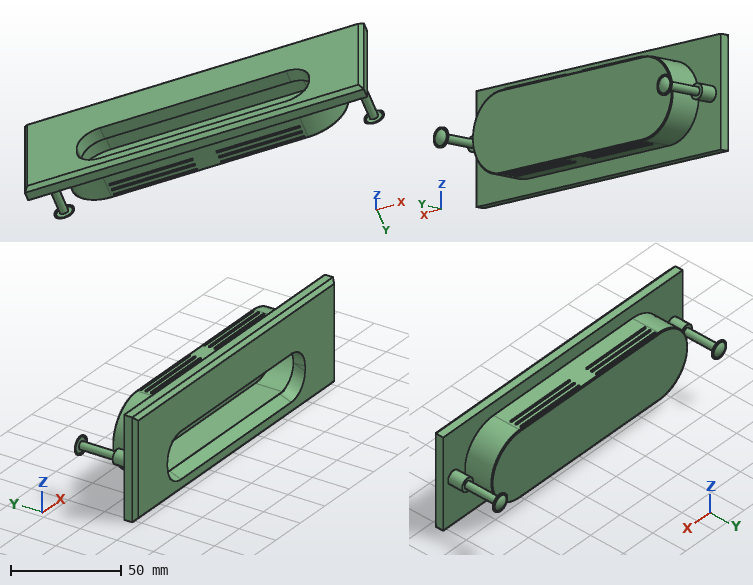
import cadquery as cq
import math


PLATE_LENGTH = 164.0
PLATE_HEIGHT = 54.0
PLATE_THICKNESS = 6.4
PLATE_CHAMFER = 2.0

CUP_LENGTH = 134.2
CUP_HEIGHT = 39.0
CUP_BACK_Y = 22.8
CUP_WALL = 1.5
CUP_FLOOR = 1.5
CUP_CHAMFER = 0.5

SLOT_LENGTH = 112.3
SLOT_HEIGHT = 22.3
LIP_DROP = 2.5
SLOT_CENTER_Z = SLOT_HEIGHT / 2 - (CUP_HEIGHT / 2 - CUP_WALL)

RIB_LENGTH = 40.2
RIB_CENTER_X = 25.9
RIB_HEIGHT = 0.5
RIB_WIDTH = 0.7
RIB_PITCH = 3.0
RIB_COUNT = 3
LAST_RIB_Y = 21.5

SCREW_X = 75.0
BOSS_DIAMETER = 7.5
BOSS_END_Y = 15.0

SHANK_DIAMETER = 4.1
FLANGE_DIAMETER = 9.5
FLANGE_Y = 34.5
FLANGE_THICKNESS = 0.5
DOME_DIAMETER = 7.9
OVERALL_DEPTH = 36.9


def back_facing_plane(y, x=0, z=0):
    """XZ sketch plane at depth y whose extrusions run towards +Y; sketch x and z keep their signs."""
    return cq.Workplane(cq.Plane(origin=(x, y, z), xDir=(-1, 0, 0), normal=(0, 1, 0)))


def stadium(length, height, y_start, depth, z=0):
    """Round-ended bar lying along X."""
    return back_facing_plane(y_start, z=z).slot2D(length, height).extrude(depth)


def cylinder(diameter, y_start, y_end, x):
    return back_facing_plane(y_start, x=x).circle(diameter / 2).extrude(y_end - y_start)


def finger_slot():
    """Straight part of the opening through the plate."""
    return stadium(SLOT_LENGTH, SLOT_HEIGHT, 0, PLATE_THICKNESS, SLOT_CENTER_Z)


def sloping_lip():
    """Cut that lowers the slot's bottom edge at the front and slopes up to it at the plate's back."""
    front_z = SLOT_CENTER_Z - LIP_DROP
    front_outline = back_facing_plane(0, z=front_z).slot2D(SLOT_LENGTH, SLOT_HEIGHT).wires().val()
    slope = cq.Vector(0, PLATE_THICKNESS, LIP_DROP)
    leaning_slot = cq.Workplane(cq.Solid.extrudeLinear(front_outline, [], slope))
    end_wedge = (
        cq.Workplane("YZ")
        .polyline([(0, SLOT_CENTER_Z), (0, front_z), (PLATE_THICKNESS, SLOT_CENTER_Z)])
        .close()
        .extrude(SLOT_LENGTH / 2, both=True)
    )
    return leaning_slot.union(end_wedge)


def make_plate():
    plate = (
        back_facing_plane(0)
        .rect(PLATE_LENGTH, PLATE_HEIGHT)
        .extrude(PLATE_THICKNESS)
        .faces("<Y")
        .chamfer(PLATE_CHAMFER)
        .cut(finger_slot())
        .cut(sloping_lip())
    )
    for x in (-SCREW_X, SCREW_X):
        boss = cylinder(BOSS_DIAMETER, PLATE_THICKNESS, BOSS_END_Y, x)
        screw_hole = cylinder(SHANK_DIAMETER, PLATE_THICKNESS, BOSS_END_Y, x)
        plate = plate.union(boss.cut(screw_hole))
    return plate


def make_cup():
    cup = (
        stadium(CUP_LENGTH, CUP_HEIGHT, PLATE_THICKNESS, CUP_BACK_Y - PLATE_THICKNESS)
        .faces(">Y")
        .chamfer(CUP_CHAMFER)
    )
    rib_span_z = CUP_HEIGHT + 2 * RIB_HEIGHT
    for x in (-RIB_CENTER_X, RIB_CENTER_X):
        for row in range(RIB_COUNT):
            y = LAST_RIB_Y - row * RIB_PITCH
            rib_pair = cq.Workplane("XY").box(RIB_LENGTH, RIB_WIDTH, rib_span_z).translate((x, y, 0))
            cup = cup.union(rib_pair)
    cavity = stadium(
        CUP_LENGTH - 2 * CUP_WALL,
        CUP_HEIGHT - 2 * CUP_WALL,
        PLATE_THICKNESS,
        CUP_BACK_Y - CUP_FLOOR - PLATE_THICKNESS,
    )
    return cup.cut(cavity)


def make_screw(x):
    """Round-headed screw with a thin flange, revolved about an axis along Y."""
    shank_radius = SHANK_DIAMETER / 2
    flange_radius = FLANGE_DIAMETER / 2
    dome_radius = DOME_DIAMETER / 2
    dome_y = FLANGE_Y + FLANGE_THICKNESS
    dome_height = OVERALL_DEPTH - dome_y
    ball_radius = (dome_radius**2 + dome_height**2) / (2 * dome_height)
    half_angle = math.asin(dome_radius / ball_radius) / 2
    arc_middle = (
        ball_radius * math.sin(half_angle),
        OVERALL_DEPTH - ball_radius * (1 - math.cos(half_angle)),
    )
    return (
        cq.Workplane("XY")
        .moveTo(0, PLATE_THICKNESS)
        .lineTo(shank_radius, PLATE_THICKNESS)
        .lineTo(shank_radius, FLANGE_Y)
        .lineTo(flange_radius, FLANGE_Y)
        .lineTo(flange_radius, dome_y)
        .lineTo(dome_radius, dome_y)
        .threePointArc(arc_middle, (0, OVERALL_DEPTH))
        .close()
        .revolve(360, (0, 0, 0), (0, 1, 0))
        .translate((x, 0, 0))
    )


plate = make_plate()
cup = make_cup()
screws = [make_screw(x) for x in (-SCREW_X, SCREW_X)]

result = cq.Compound.makeCompound([plate.val(), cup.val(), *[screw.val() for screw in screws]])